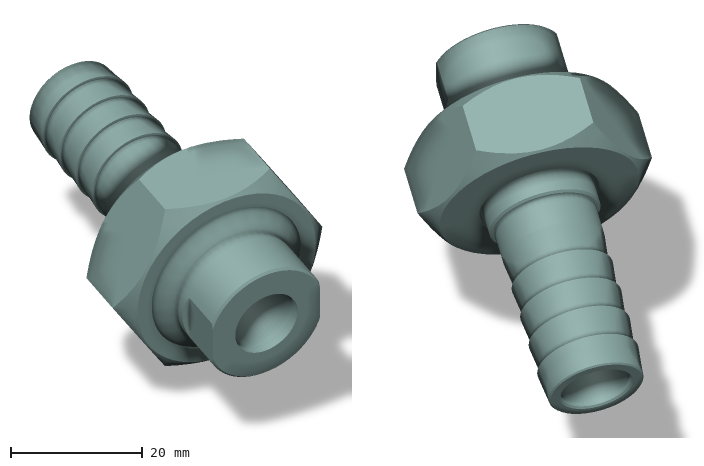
import cadquery as cq
import math


TOTAL_LENGTH = 59.0
BORE_RADIUS = 11.0 / 2
BORE_CHAMFER = 0.3

CREST_RADIUS = 16.0 / 2
ROOT_RADIUS = 14.9 / 2
BARB_COUNT = 4
BARB_PITCH = 5.0
BARB_LAND = 0.3
TIP_CHAMFER = 0.25
NECK_FILLET = 0.35
NECK_CHAMFER = 0.35
COLLAR_RADIUS = 17.5 / 2
COLLAR_X = 30.25
TAPER_END_X = 24.95
FLANGE_RADIUS = 24.15 / 2
FLANGE_THICKNESS = 2.35

NUT_X = 33.5
NUT_LENGTH = 13.45
NUT_ACROSS_FLATS = 32.0
NUT_FACE_RADIUS = 15.7
NUT_WALL = 3.1
NUT_HOLE_RADIUS = 18.5 / 2
NUT_HOLE_CHAMFER = 0.3
THREAD_RADIUS = 26.4 / 2

SOCKET_RADIUS = 20.5 / 2
CONE_END_X = 49.45
CONE_TANGENT = 0.25
FLAT_DISTANCE = 9.45
FLAT_X = 51.9
END_CHAMFER = 0.35

flange_x = NUT_X + NUT_WALL
socket_start_x = flange_x + FLANGE_THICKNESS
nut_end_x = NUT_X + NUT_LENGTH


def revolve_x(profile):
    """Revolve an XY profile about the X axis."""
    return profile.close().revolve(360, (0, 0, 0), (1, 0, 0))


def make_hose_tail():
    profile = (
        cq.Workplane("XY")
        .moveTo(0, BORE_RADIUS + BORE_CHAMFER)
        .lineTo(0, ROOT_RADIUS - TIP_CHAMFER)
        .lineTo(TIP_CHAMFER, ROOT_RADIUS)
    )
    for barb in range(1, BARB_COUNT + 1):
        crest_x = barb * BARB_PITCH
        profile = (
            profile.lineTo(crest_x, CREST_RADIUS)
            .lineTo(crest_x, ROOT_RADIUS)
            .lineTo(crest_x + BARB_LAND, ROOT_RADIUS)
        )
    fillet_end_x = COLLAR_X - NECK_CHAMFER
    profile = (
        profile.lineTo(TAPER_END_X, CREST_RADIUS)
        .lineTo(fillet_end_x - NECK_FILLET, CREST_RADIUS)
        .radiusArc((fillet_end_x, CREST_RADIUS + NECK_FILLET), -NECK_FILLET)
        .lineTo(fillet_end_x, COLLAR_RADIUS - NECK_CHAMFER)
        .lineTo(COLLAR_X, COLLAR_RADIUS)
        .lineTo(flange_x, COLLAR_RADIUS)
        .lineTo(flange_x, FLANGE_RADIUS)
        .lineTo(socket_start_x, FLANGE_RADIUS)
        .lineTo(socket_start_x, BORE_RADIUS)
        .lineTo(BORE_CHAMFER, BORE_RADIUS)
    )
    return revolve_x(profile)


def make_nut():
    across_corners = NUT_ACROSS_FLATS / math.cos(math.radians(30))
    corner_radius = across_corners / 2
    corner_chamfer = corner_radius - NUT_FACE_RADIUS
    hexagon = cq.Workplane("YZ", origin=(NUT_X, 0, 0)).polygon(6, across_corners).extrude(NUT_LENGTH)

    envelope = revolve_x(
        cq.Workplane("XY")
        .moveTo(NUT_X, NUT_HOLE_RADIUS + NUT_HOLE_CHAMFER)
        .lineTo(NUT_X, NUT_FACE_RADIUS)
        .lineTo(NUT_X + corner_chamfer, corner_radius)
        .lineTo(nut_end_x - corner_chamfer, corner_radius)
        .lineTo(nut_end_x, NUT_FACE_RADIUS)
        .lineTo(nut_end_x, THREAD_RADIUS)
        .lineTo(flange_x, THREAD_RADIUS)
        .lineTo(flange_x, NUT_HOLE_RADIUS)
        .lineTo(NUT_X + NUT_HOLE_CHAMFER, NUT_HOLE_RADIUS)
    )
    return hexagon.intersect(envelope)


def make_wrench_flat(side):
    """Cutter for one flat, with a 45 degree run-out; side is +1 or -1 along Y."""
    depth = SOCKET_RADIUS - FLAT_DISTANCE
    return (
        cq.Workplane("XY")
        .moveTo(FLAT_X, side * FLAT_DISTANCE)
        .lineTo(TOTAL_LENGTH, side * FLAT_DISTANCE)
        .lineTo(TOTAL_LENGTH, side * SOCKET_RADIUS)
        .lineTo(FLAT_X - depth, side * SOCKET_RADIUS)
        .close()
        .extrude(SOCKET_RADIUS, both=True)
    )


def make_socket_end():
    thread_end_x = CONE_END_X - (THREAD_RADIUS - SOCKET_RADIUS)
    tangent_step = CONE_TANGENT * math.cos(math.radians(45))
    fillet_radius = CONE_TANGENT / math.tan(math.radians(45 / 2))
    socket = revolve_x(
        cq.Workplane("XY")
        .moveTo(socket_start_x, BORE_RADIUS)
        .lineTo(socket_start_x, THREAD_RADIUS)
        .lineTo(thread_end_x, THREAD_RADIUS)
        .lineTo(CONE_END_X - tangent_step, SOCKET_RADIUS + tangent_step)
        .radiusArc((CONE_END_X + CONE_TANGENT, SOCKET_RADIUS), -fillet_radius)
        .lineTo(TOTAL_LENGTH - END_CHAMFER, SOCKET_RADIUS)
        .lineTo(TOTAL_LENGTH, SOCKET_RADIUS - END_CHAMFER)
        .lineTo(TOTAL_LENGTH, BORE_RADIUS)
    )
    for side in (-1, 1):
        socket = socket.cut(make_wrench_flat(side))
    return socket


hose_tail = make_hose_tail()
nut = make_nut()
socket_end = make_socket_end()

result = cq.Compound.makeCompound([hose_tail.val(), nut.val(), socket_end.val()])